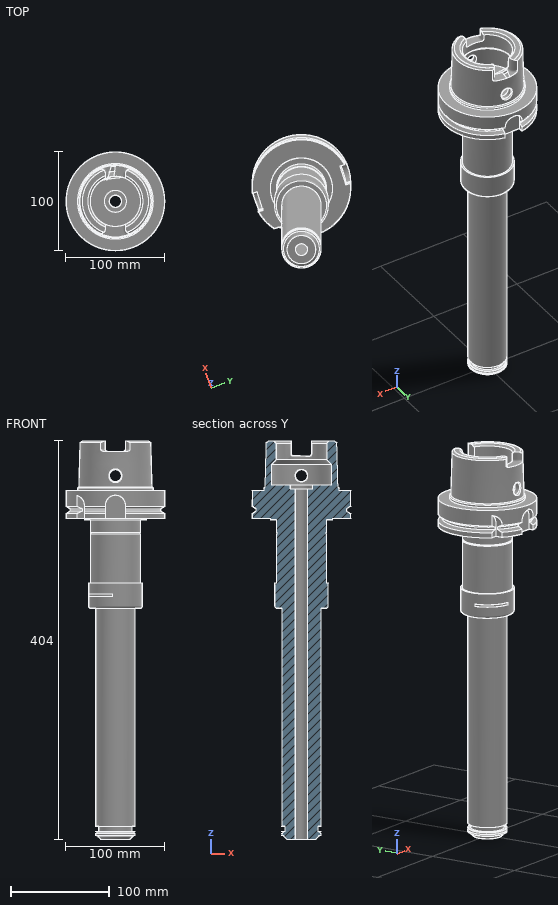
import cadquery as cq
import math

TOTAL_LENGTH = 404.0
SHANK_LENGTH = 50.0
FLANGE_HEIGHT = 28.5
FACE_Z = TOTAL_LENGTH - SHANK_LENGTH
FLANGE_BOTTOM_Z = FACE_Z - FLANGE_HEIGHT

SHANK_TOP_RADIUS = 36.0
SHANK_BASE_RADIUS = 37.0
SHANK_TOP_CHAMFER_WIDTH = 2.5
SHANK_TOP_CHAMFER_HEIGHT = 1.5
BASE_RING_RADIUS = 38.5
BASE_RING_HEIGHT = 2.5
BASE_RING_CHAMFER = 1.2

BORE_RADIUS = 51.0 / 2
BORE_CHAMFER = 2.5
UNDERCUT_RADIUS = 30.5
BORE_LIP_DEPTH = 19.0
BORE_DEPTH = 44.5
RECESS_RADIUS = 22.2 / 2
RECESS_DEPTH = 4.0
COOLANT_RADIUS = 12.0 / 2

SLOT_WIDTH = 20.0
FRONT_SLOT_DEPTH = 10.5
BACK_SLOT_DEPTH = 15.5
SLOT_OUTER_FLARE = 5.0
SLOT_INNER_FLARE = 2.5
SLOT_FLOOR_FILLET = 2.5

CROSS_HOLE_RADIUS = 12.0 / 2
CROSS_HOLE_MOUTH_RADIUS = 14.0 / 2
CROSS_HOLE_MOUTH_DEPTH = 2.0
CROSS_HOLE_DEPTH = 35.0

FLANGE_RADIUS = 100.0 / 2
GROOVE_RADIUS = 46.0
GROOVE_TOP_DROP = 16.0
GROOVE_MOUTH = 7.3
GROOVE_FLOOR = 2.5
PAD_RADIUS = 63.0 / 2
PAD_HEIGHT = 1.2

KEYWAY_WIDTH = 20.0
KEYWAY_TOP_DROP = 5.0
KEYWAY_FLOOR = 44.0
NOTCH_CORNER = 31.5

NECK_RADIUS = 51.0 / 2
NECK_GROOVE_Z = 310.0
NECK_GROOVE_SIZE = 1.2
NECK_GROOVE_DEPTH = 0.5
COLLAR_RADIUS = 54.5 / 2
COLLAR_TOP_Z = 260.0
COLLAR_BOTTOM_Z = 234.5
COLLAR_FILLET = 2.5
MARK_Z = 246.5
MARK_HEIGHT = 2.5
MARK_DEPTH = 0.5
MARK_MIDDLE_ANGLE = 225.0
MARK_HALF_ANGLE = 39.0
TUBE_RADIUS = 40.0 / 2

TUBE_BOTTOM_Z = 13.5
NOSE_NECK_RADIUS = 34.0 / 2
LIP_TOP_Z = 8.5
LIP_BOTTOM_Z = 7.5
LIP_GROOVE_RADIUS = 18.5
RIM_TOP_Z = 6.0
RIM_BOTTOM_Z = 4.5
CONE_TOP_RADIUS = 18.0
CONE_TOP_Z = 3.5
NOSE_TIP_RADIUS = 14.5


def disc(radius, bottom_z, top_z):
    return cq.Workplane("XY").workplane(offset=bottom_z).circle(radius).extrude(top_z - bottom_z)


def ring(outer_radius, inner_radius, bottom_z, top_z):
    return disc(outer_radius, bottom_z, top_z).cut(disc(inner_radius, bottom_z, top_z))


def turned(outline):
    """Turn a (radius, z) outline about the tool axis."""
    return cq.Workplane("XZ").polyline(outline).close().revolve(360, (0, 0, 0), (0, 1, 0))


def shank_and_flange():
    groove_top = FACE_Z - GROOVE_TOP_DROP
    groove_slope = (GROOVE_MOUTH - GROOVE_FLOOR) / 2
    return turned([
        (0, TOTAL_LENGTH),
        (SHANK_TOP_RADIUS - SHANK_TOP_CHAMFER_WIDTH, TOTAL_LENGTH),
        (SHANK_TOP_RADIUS, TOTAL_LENGTH - SHANK_TOP_CHAMFER_HEIGHT),
        (SHANK_BASE_RADIUS, FACE_Z + BASE_RING_HEIGHT + BASE_RING_CHAMFER),
        (BASE_RING_RADIUS, FACE_Z + BASE_RING_HEIGHT),
        (BASE_RING_RADIUS, FACE_Z),
        (FLANGE_RADIUS, FACE_Z),
        (FLANGE_RADIUS, groove_top),
        (GROOVE_RADIUS, groove_top - groove_slope),
        (GROOVE_RADIUS, groove_top - groove_slope - GROOVE_FLOOR),
        (FLANGE_RADIUS, groove_top - GROOVE_MOUTH),
        (FLANGE_RADIUS, FLANGE_BOTTOM_Z),
        (PAD_RADIUS, FLANGE_BOTTOM_Z),
        (PAD_RADIUS, FLANGE_BOTTOM_Z - PAD_HEIGHT),
        (0, FLANGE_BOTTOM_Z - PAD_HEIGHT),
    ])


def neck_and_collar():
    neck = disc(NECK_RADIUS, COLLAR_BOTTOM_Z, FLANGE_BOTTOM_Z)
    groove = ring(
        NECK_RADIUS, NECK_RADIUS - NECK_GROOVE_DEPTH, NECK_GROOVE_Z, NECK_GROOVE_Z + NECK_GROOVE_SIZE
    )
    collar = disc(COLLAR_RADIUS, COLLAR_BOTTOM_Z, COLLAR_TOP_Z).faces("<Z").edges().fillet(COLLAR_FILLET)
    return neck.cut(groove).union(collar).cut(collar_mark())


def collar_mark():
    """Shallow groove over part of the collar's girth, centred between -X and -Y."""
    reach = 2 * COLLAR_RADIUS
    middle = math.radians(MARK_MIDDLE_ANGLE)
    half = math.radians(MARK_HALF_ANGLE)
    corners = [(reach * math.cos(a), reach * math.sin(a)) for a in (middle - half, middle + half)]
    sector = (
        cq.Workplane("XY").workplane(offset=MARK_Z)
        .polyline([(0, 0)] + corners).close().extrude(MARK_HEIGHT)
    )
    band = ring(COLLAR_RADIUS, COLLAR_RADIUS - MARK_DEPTH, MARK_Z, MARK_Z + MARK_HEIGHT)
    return band.intersect(sector)


def tube_and_nose():
    return turned([
        (0, COLLAR_BOTTOM_Z),
        (TUBE_RADIUS, COLLAR_BOTTOM_Z),
        (TUBE_RADIUS, TUBE_BOTTOM_Z),
        (NOSE_NECK_RADIUS, TUBE_BOTTOM_Z),
        (NOSE_NECK_RADIUS, LIP_TOP_Z),
        (TUBE_RADIUS, LIP_TOP_Z),
        (LIP_GROOVE_RADIUS, LIP_BOTTOM_Z),
        (TUBE_RADIUS, RIM_TOP_Z),
        (TUBE_RADIUS, RIM_BOTTOM_Z),
        (CONE_TOP_RADIUS, CONE_TOP_Z),
        (NOSE_TIP_RADIUS, 0),
        (0, 0),
    ])


def bore():
    lip_z = TOTAL_LENGTH - BORE_LIP_DEPTH
    floor_z = TOTAL_LENGTH - BORE_DEPTH
    return turned([
        (0, TOTAL_LENGTH),
        (BORE_RADIUS + BORE_CHAMFER, TOTAL_LENGTH),
        (BORE_RADIUS, TOTAL_LENGTH - BORE_CHAMFER),
        (BORE_RADIUS, lip_z),
        (UNDERCUT_RADIUS, lip_z - (UNDERCUT_RADIUS - BORE_RADIUS)),
        (UNDERCUT_RADIUS, floor_z),
        (RECESS_RADIUS, floor_z),
        (RECESS_RADIUS, floor_z - RECESS_DEPTH),
        (COOLANT_RADIUS, floor_z - RECESS_DEPTH),
        (COOLANT_RADIUS, 0),
        (0, 0),
    ])


def rim_slot(depth, side):
    """Driving slot through the rim on one Y side (-1 or 1), flaring out at the bore and at the outside."""
    half = SLOT_WIDTH / 2
    inner_mouth = half + SLOT_INNER_FLARE
    outer_mouth = half + SLOT_OUTER_FLARE
    inner_y = math.sqrt(BORE_RADIUS**2 - inner_mouth**2)
    outer_y = math.sqrt(SHANK_TOP_RADIUS**2 - outer_mouth**2)
    floor = cq.Workplane("XY").workplane(offset=TOTAL_LENGTH - depth)
    half_slot = (
        floor.lineTo(inner_mouth, 0)
        .lineTo(inner_mouth, inner_y)
        .radiusArc((half, inner_y + SLOT_INNER_FLARE), SLOT_INNER_FLARE)
        .lineTo(half, outer_y - SLOT_OUTER_FLARE)
        .radiusArc((outer_mouth, outer_y), SLOT_OUTER_FLARE)
        .lineTo(outer_mouth, FLANGE_RADIUS)
        .lineTo(0, FLANGE_RADIUS)
        .close()
        .extrude(depth)
    )
    slot = half_slot.union(half_slot.mirror("YZ"))
    slot = slot.faces("<Z").edges("not #Y").fillet(SLOT_FLOOR_FILLET)
    return slot if side > 0 else slot.mirror("XZ")


def cross_hole():
    """Hole through both walls along Y, with a conical mouth on each side."""
    mouth_y = SHANK_BASE_RADIUS
    cone_end_y = mouth_y - CROSS_HOLE_MOUTH_DEPTH
    outline = [
        (0, -mouth_y),
        (CROSS_HOLE_MOUTH_RADIUS, -mouth_y),
        (CROSS_HOLE_RADIUS, -cone_end_y),
        (CROSS_HOLE_RADIUS, cone_end_y),
        (CROSS_HOLE_MOUTH_RADIUS, mouth_y),
        (0, mouth_y),
    ]
    hole = cq.Workplane("XY").polyline(outline).close().revolve(360, (0, 0, 0), (0, 1, 0))
    return hole.translate((0, 0, TOTAL_LENGTH - CROSS_HOLE_DEPTH))


def keyway(center_x, floor_distance):
    """Round-topped keyway open to -Y and downwards, with a flat floor at Y = -floor_distance."""
    half = KEYWAY_WIDTH / 2
    top_z = FACE_Z - KEYWAY_TOP_DROP
    bottom_z = FLANGE_BOTTOM_Z
    return (
        cq.Workplane("XZ").workplane(offset=floor_distance)
        .moveTo(center_x - half, bottom_z)
        .lineTo(center_x - half, top_z - half)
        .threePointArc((center_x, top_z), (center_x + half, top_z - half))
        .lineTo(center_x + half, bottom_z)
        .close()
        .extrude(FLANGE_RADIUS - floor_distance)
    )


result = shank_and_flange().union(neck_and_collar()).union(tube_and_nose()).cut(bore())
result = result.cut(rim_slot(FRONT_SLOT_DEPTH, -1)).cut(rim_slot(BACK_SLOT_DEPTH, 1)).cut(cross_hole())

drive_keyway = keyway(0, KEYWAY_FLOOR)
result = result.cut(drive_keyway).cut(drive_keyway.mirror("XZ"))

result = result.cut(keyway(-NOTCH_CORNER - KEYWAY_WIDTH / 2, NOTCH_CORNER))